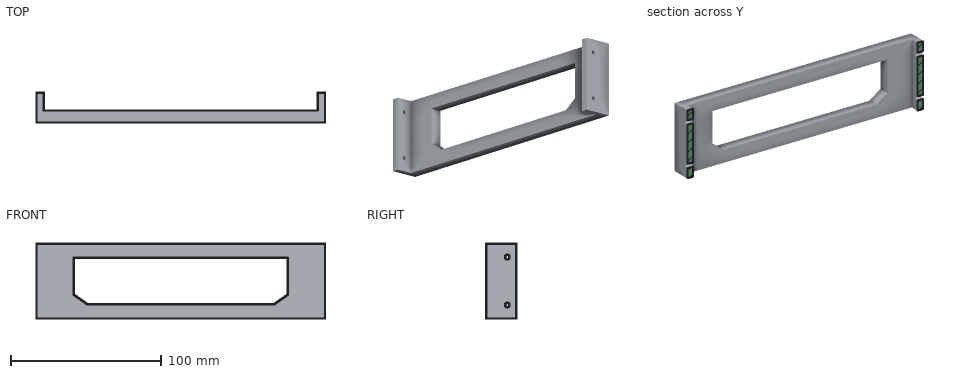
import cadquery as cq

length = 192.5
depth = 20.0
height = 50.0
plate_thickness = 8.0
flange_thickness = 5.0

window_side_margin = 25.0
window_top_margin = 9.6
window_bottom_margin = 9.6
corner_run = 9.0
corner_rise = 6.4

hole_diameter = 2.9
hole_spacing = 32.0
hole_from_back = 6.0


def make_body():
    """U-shaped channel: a plate with a flange at each end."""
    inner_half = length / 2 - flange_thickness
    return (
        cq.Workplane("XY")
        .moveTo(-length / 2, 0)
        .lineTo(length / 2, 0)
        .lineTo(length / 2, depth)
        .lineTo(inner_half, depth)
        .lineTo(inner_half, plate_thickness)
        .lineTo(-inner_half, plate_thickness)
        .lineTo(-inner_half, depth)
        .lineTo(-length / 2, depth)
        .close()
        .extrude(height)
    )


def make_window():
    """Cutter for the window, spanning the full plate thickness."""
    half_width = length / 2 - window_side_margin
    bottom = window_bottom_margin
    top = height - window_top_margin
    return (
        cq.Workplane("XZ")
        .moveTo(-half_width, top)
        .lineTo(half_width, top)
        .lineTo(half_width, bottom + corner_rise)
        .lineTo(half_width - corner_run, bottom)
        .lineTo(-half_width + corner_run, bottom)
        .lineTo(-half_width, bottom + corner_rise)
        .close()
        .extrude(-plate_thickness)
    )


def make_flange_holes():
    """Cutter with two cylinders along X that pierce both flanges."""
    hole_y = depth - hole_from_back
    hole_points = [(hole_y, height / 2 + side * hole_spacing / 2) for side in (-1, 1)]
    return (
        cq.Workplane("YZ", origin=(-length / 2, 0, 0))
        .pushPoints(hole_points)
        .circle(hole_diameter / 2)
        .extrude(length)
    )


result = make_body().cut(make_window()).cut(make_flange_holes())